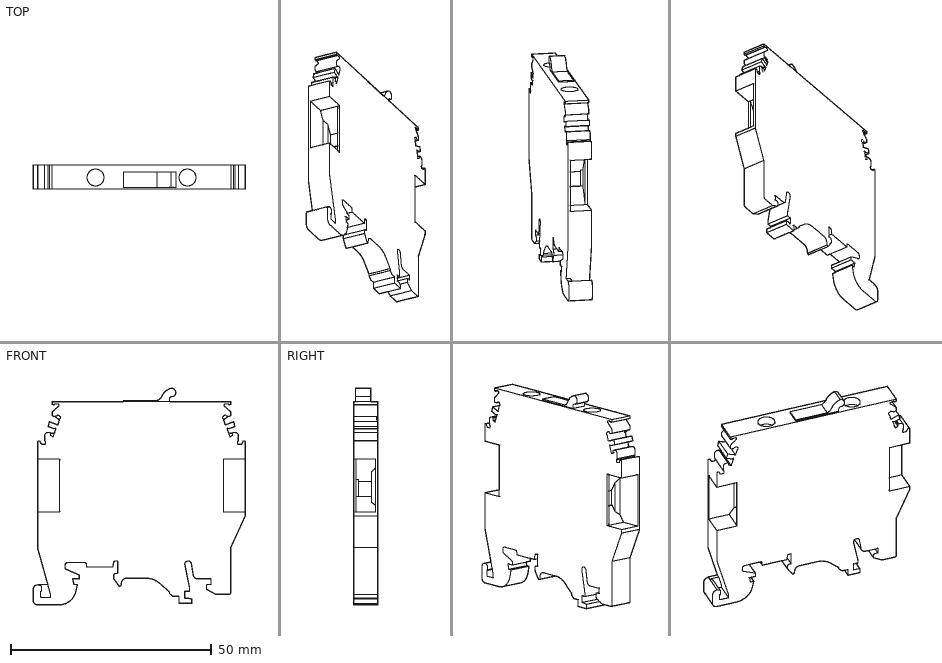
import cadquery as cq
import math

thickness = 6.0
top_z = 50.75
side_left = 1.15
mid_x = 27.05
side_right = 2 * mid_x - side_left

mouth_low, mouth_high = 23.15, 36.4
mouth_inner_x = 6.6
wall = 0.6
throat_low, throat_high = 27.1, 31.35
throat_back_y = 4.4
funnel_length = 3.15
wall_taper_start, wall_taper_end = 1.35, 2.0
recess_depth = 0.3
recess_drop = 0.5
recess_front_y = 1.15

marker_web = 0.25
foot_web = 1.05

leg_top_z = 14.1
leg_lean = 0.28
hook_top_z = 5.05
web_top_z = 5.15
hook_crest_x = 1.25
slot_bend_z = 2.7

screw_diameter = 4.2
screw_depth = 2.15
screw_y = 2.85
screw_offset = 11.5

lever_start_x = 22.5
lever_foot_x = 30.95
lever_back_x = 34.05
lever_front_y, lever_back_y = 0.45, 4.3
strip_z = 51.05
tip_x, tip_z, tip_radius = 34.5, 53.0, 1.15
tip_end_angle = math.radians(-65)


def leg_x(z):
    """X of the leaning outer face of the left leg at height z."""
    return side_left + (leg_top_z - z) * leg_lean


def extrude_y(sketch, y_start, y_end):
    """Extrude an XZ sketch from y_start to y_end."""
    return sketch.extrude(-(y_end - y_start)).translate((0, y_start, 0))


def rounded_outline(corners):
    """Closed XZ outline through (x, z) or (x, z, corner radius) entries."""
    sketch = cq.Workplane("XZ")
    started = False
    for index, (x, z, *radius) in enumerate(corners):
        corner = cq.Vector(x, z)
        stops = [corner]
        if radius:
            before = cq.Vector(*corners[index - 1][:2])
            after = cq.Vector(*corners[(index + 1) % len(corners)][:2])
            to_before = (before - corner).normalized()
            to_after = (after - corner).normalized()
            half_angle = to_before.getAngle(to_after) / 2
            setback = radius[0] / math.tan(half_angle)
            arc_gap = radius[0] / math.sin(half_angle) - radius[0]
            bisector = (to_before + to_after).normalized()
            stops = [
                corner + to_before * setback,
                corner + bisector * arc_gap,
                corner + to_after * setback,
            ]
        first = stops[0].toTuple()[:2]
        sketch = sketch.lineTo(*first) if started else sketch.moveTo(*first)
        started = True
        if radius:
            sketch = sketch.threePointArc(stops[1].toTuple()[:2], stops[2].toTuple()[:2])
    return sketch.close()


def mirrored(corners):
    """The same corners on the other side of the symmetry plane, in reverse order."""
    return [(2 * mid_x - x, z, *radius) for x, z, *radius in reversed(corners)]


ridge_edge = [
    (side_left, 40.95, 0.25),
    (1.7, 40.95, 0.2),
    (2.1, 40.1, 0.25),
    (3.1, 40.1, 0.2),
    (3.1, 40.65),
    (2.85, 41.05),
    (2.85, 43.05, 0.75),
    (4.1, 43.05),
    (4.35, 42.9),
    (5.3, 42.9),
    (5.7, 44.05),
    (5.25, 43.95),
    (3.75, 44.5),
    (4.05, 45.75),
    (5.5, 45.2),
    (6.15, 44.95),
    (6.55, 46.2),
    (5.45, 47.0),
    (4.75, 47.15, 0.3),
    (4.75, 48.2, 0.2),
    (6.45, 49.7, 0.2),
    (6.45, 50.15, 0.2),
    (5.35, 50.15),
    (5.2, 49.9),
    (4.75, 50.1),
    (4.75, top_z),
]

right_leg = [
    (side_right, 22.25),
    (49.4, 14.35),
    (49.4, 2.65, 0.45),
    (45.55, 2.65),
    (43.25, 3.9),
    (43.25, 5.15, 0.3),
    (44.4, 5.15),
    (44.4, 6.5),
    (40.1, 6.5, 1.1),
    (39.35, 10.95, 0.75),
    (37.75, 10.95, 0.75),
    (39.1, 4.3),
    (39.1, 3.4),
    (37.9, 3.4),
    (37.9, 1.7),
    (38.75, 1.7),
    (39.65, 1.5),
    (39.65, 0.4),
    (36.4, 0.4),
    (36.4, 2.1),
]

rail_arch = [
    (34.85, 2.1, 0.45),
    (34.05, 2.8),
    (33.95, 3.3),
    (30.15, 6.65, 5.4),
    (22.2, 6.65, 1.3),
    (22.0, 4.75),
    (21.55, 4.55),
    (20.1, 6.6),
    (20.1, 7.9, 0.65),
    (21.1, 7.9),
    (21.1, 10.95),
    (20.2, 10.95, 0.45),
    (19.9, 9.4),
    (13.35, 9.4),
    (13.2, 10.55, 0.2),
]

left_foot = [
    (8.0, 10.55, 0.65),
    (8.0, 9.05, 0.45),
    (11.6, 7.45, 0.2),
    (11.6, 6.5),
    (9.9, 6.5),
    (10.25, 5.15),
    (11.1, 5.15),
    (9.95, 0.0, 4.35),
    (0.0, 0.0, 1.2),
    (0.0, hook_top_z, 1.2),
    (hook_crest_x, hook_top_z),
    (hook_crest_x, web_top_z),
    (leg_x(web_top_z), web_top_z),
    (side_left, leg_top_z),
]

foot_slot = [
    (leg_x(web_top_z), web_top_z),
    (leg_x(slot_bend_z), slot_bend_z, 1.1),
    (leg_x(slot_bend_z), 1.9),
    (1.9, 1.9, 0.15),
    (1.9, 3.3),
    (2.15, 3.6),
    (2.15, 4.7, 0.45),
    (hook_crest_x, hook_top_z),
    (hook_crest_x, web_top_z),
]

upper_marker_slot = [(5.45, 47.0), (6.2, 47.4, 0.15), (6.95, 46.9, 0.25), (6.55, 46.2)]
lower_marker_slot = [(4.35, 42.9), (4.35, 42.35), (5.0, 41.95), (5.3, 42.9)]


def housing():
    outline = ridge_edge + mirrored(ridge_edge) + right_leg + rail_arch + left_foot
    body = extrude_y(rounded_outline(outline), 0, thickness)
    body = body.cut(extrude_y(rounded_outline(foot_slot), 0, thickness - foot_web))
    for slot in (upper_marker_slot, lower_marker_slot):
        for corners in (slot, mirrored(slot)):
            body = body.cut(extrude_y(rounded_outline(corners), 0, thickness - marker_web))
    return body


def wire_opening():
    """Cutter for the left side: open mouth, tapering funnel and a shallow end recess."""
    back_y = thickness - wall
    funnel_end_x = mouth_inner_x + funnel_length
    mouth = cq.Workplane("XY").box(
        mouth_inner_x, back_y, mouth_high - mouth_low, centered=False
    ).translate((0, 0, mouth_low))
    side_profile = [
        (mouth_inner_x, mouth_low),
        (funnel_end_x, throat_low),
        (funnel_end_x, throat_high),
        (mouth_inner_x, mouth_high),
    ]
    plan_profile = [
        (mouth_inner_x, wall),
        (funnel_end_x, wall),
        (funnel_end_x, throat_back_y),
        (mouth_inner_x + wall_taper_end, throat_back_y),
        (mouth_inner_x + wall_taper_start, back_y),
        (mouth_inner_x, back_y),
    ]
    funnel_side = extrude_y(rounded_outline(side_profile), wall, back_y)
    funnel_plan = cq.Workplane("XY").workplane(offset=mouth_low).polyline(plan_profile).close()
    funnel = funnel_side.intersect(funnel_plan.extrude(mouth_high - mouth_low))
    recess_profile = [
        (funnel_end_x, throat_low),
        (funnel_end_x + recess_depth, throat_low),
        (funnel_end_x + recess_depth, throat_high - recess_drop),
        (funnel_end_x, throat_high),
    ]
    recess = extrude_y(rounded_outline(recess_profile), recess_front_y, throat_back_y)
    return mouth.union(funnel).union(recess)


def screw_holes():
    return (
        cq.Workplane("XY", origin=(mid_x, screw_y, top_z - screw_depth))
        .pushPoints([(-screw_offset, 0), (screw_offset, 0)])
        .circle(screw_diameter / 2)
        .extrude(screw_depth)
    )


def lever():
    """Flat strip on the top that curls up into a round-tipped grip."""
    tip_end = (
        tip_x + tip_radius * math.cos(tip_end_angle),
        tip_z + tip_radius * math.sin(tip_end_angle),
    )
    sketch = (
        cq.Workplane("XZ")
        .moveTo(lever_start_x, top_z)
        .lineTo(lever_start_x, strip_z)
        .lineTo(lever_foot_x, strip_z)
        .threePointArc((31.8, 51.6), (32.2, 52.35))
        .threePointArc((33.1, 53.4), (tip_x, tip_z + tip_radius))
        .threePointArc((tip_x + tip_radius, tip_z), tip_end)
        .threePointArc((34.2, 51.75), (lever_back_x, 51.25))
        .lineTo(lever_back_x, top_z)
        .close()
    )
    return extrude_y(sketch, lever_front_y, lever_back_y)


left_opening = wire_opening()
right_opening = left_opening.mirror("YZ", (mid_x, 0, 0))
result = housing().cut(left_opening).cut(right_opening).cut(screw_holes()).union(lever())